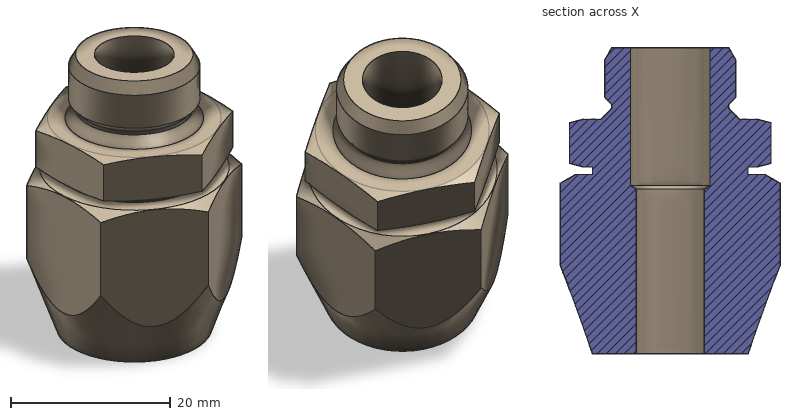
import cadquery as cq
import math

total_height = 38.5
nut_top = 22.55
body_hex_bottom = 23.5
body_hex_top = 29.53
groove_bottom = 30.88
groove_top = 31.38

thread_radius = 16.55 / 2
groove_radius = 14.75 / 2
thread_lead_angle = 30.0
seat_radius = groove_radius + (groove_bottom - body_hex_top)

collar_radius = 19.6 / 2
body_hex_flats = 22.0
body_hex_face_radius = 10.95
body_hex_chamfer_angle = 15.0
nut_flats = 24.0
nut_face_radius = 11.95
nut_chamfer_angle = 30.0
nut_cone_angle = 20.0
nut_bottom_radius = collar_radius
corner_clearance = 0.4

mouth_radius = 10.0 / 2
bore_radius = 8.5 / 2
mouth_depth = 17.32
bore_cone_angle = 59.0


def tangent(degrees):
    return math.tan(math.radians(degrees))


def revolve_about_axis(profile):
    """Turn a closed outline of (radius, height) points about Z."""
    return cq.Workplane("XZ").polyline(profile).close().revolve(360, (0, 0), (0, 1))


def corner_radius(across_flats):
    return across_flats / math.sqrt(3)


def hex_prism(across_flats, bottom, top):
    """Hexagonal prism with flats facing +X and -X."""
    prism = cq.Workplane("XY").polygon(6, 2 * corner_radius(across_flats)).extrude(top - bottom)
    return prism.rotate((0, 0, 0), (0, 0, 1), 30).translate((0, 0, bottom))


def make_body_hex():
    outer = corner_radius(body_hex_flats) + corner_clearance
    drop = (outer - body_hex_face_radius) * tangent(body_hex_chamfer_angle)
    envelope = revolve_about_axis([
        (0, body_hex_bottom),
        (body_hex_face_radius, body_hex_bottom),
        (outer, body_hex_bottom + drop),
        (outer, body_hex_top - drop),
        (body_hex_face_radius, body_hex_top),
        (0, body_hex_top),
    ])
    return hex_prism(body_hex_flats, body_hex_bottom, body_hex_top).intersect(envelope)


def make_nut():
    outer = corner_radius(nut_flats) + corner_clearance
    cone_height = (outer - nut_bottom_radius) / tangent(nut_cone_angle)
    drop = (outer - nut_face_radius) * tangent(nut_chamfer_angle)
    envelope = revolve_about_axis([
        (0, 0),
        (nut_bottom_radius, 0),
        (outer, cone_height),
        (outer, nut_top - drop),
        (nut_face_radius, nut_top),
        (0, nut_top),
    ])
    return hex_prism(nut_flats, 0, nut_top).intersect(envelope)


def make_threaded_end():
    thread_step = thread_radius - groove_radius
    return revolve_about_axis([
        (0, body_hex_top),
        (seat_radius, body_hex_top),
        (groove_radius, groove_bottom),
        (groove_radius, groove_top),
        (thread_radius, groove_top + thread_step),
        (thread_radius, total_height - thread_step / tangent(thread_lead_angle)),
        (groove_radius, total_height),
        (0, total_height),
    ])


def make_bore():
    cone_top = total_height - mouth_depth
    cone_bottom = cone_top - (mouth_radius - bore_radius) / tangent(bore_cone_angle)
    return revolve_about_axis([
        (0, 0),
        (bore_radius, 0),
        (bore_radius, cone_bottom),
        (mouth_radius, cone_top),
        (mouth_radius, total_height),
        (0, total_height),
    ])


collar = cq.Workplane("XY", origin=(0, 0, nut_top)).circle(collar_radius).extrude(body_hex_bottom - nut_top)
result = make_nut().union(collar).union(make_body_hex()).union(make_threaded_end()).cut(make_bore())